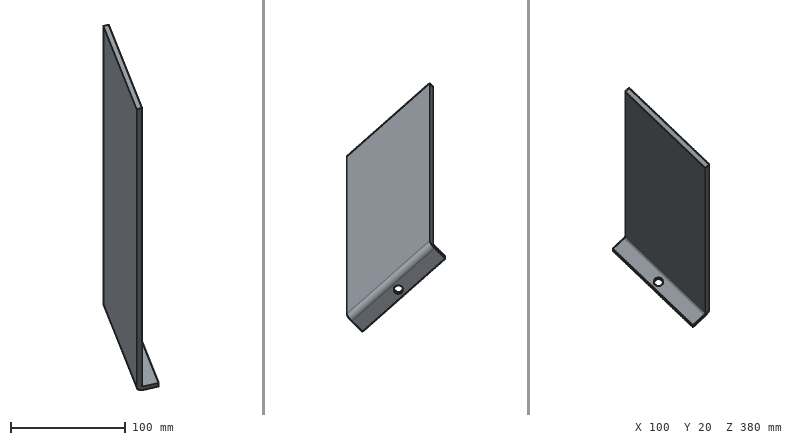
import cadquery as cq

width = 100.0
depth = 20.0
height = 380.0
thickness = 5.0

inner_radius = 1.0
outer_radius = inner_radius + thickness

hole_diameter = 8.0
hole_y = (outer_radius + depth) / 2

sheet = (
    cq.Workplane("YZ")
    .moveTo(0, height)
    .lineTo(0, outer_radius)
    .radiusArc((outer_radius, 0), -outer_radius)
    .lineTo(depth, 0)
    .lineTo(depth, thickness)
    .lineTo(outer_radius, thickness)
    .radiusArc((thickness, outer_radius), inner_radius)
    .lineTo(thickness, height)
    .close()
    .extrude(width / 2, both=True)
)

hole = (
    cq.Workplane("XY")
    .center(0, hole_y)
    .circle(hole_diameter / 2)
    .extrude(thickness)
)

result = sheet.cut(hole)